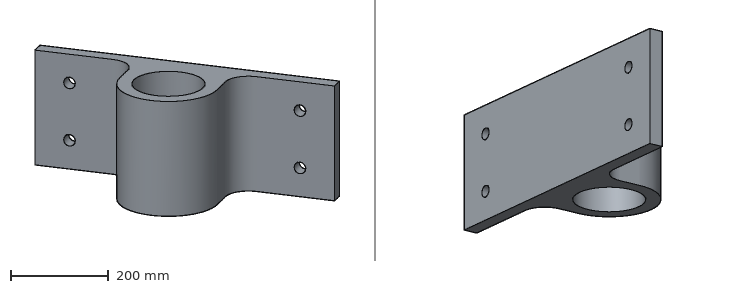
import cadquery as cq

plate_length = 650.0
plate_thickness = 32.0
height = 250.0

overall_depth = 238.0
housing_radius = 106.0
bore_diameter = 149.5
root_fillet_radius = 50.0
axis_y = housing_radius - overall_depth

bolt_hole_diameter = 25.0
bolt_spacing_x = 500.0
bolt_spacing_z = 125.0


def make_body():
    """Plate and housing in one profile, extruded along Z and centred on Z = 0."""
    half_length = plate_length / 2
    fillet_end_x = housing_radius + root_fillet_radius
    fillet_end_y = -plate_thickness - root_fillet_radius
    return (
        cq.Workplane("XY", origin=(0, 0, -height / 2))
        .moveTo(-half_length, 0)
        .lineTo(-half_length, -plate_thickness)
        .lineTo(-fillet_end_x, -plate_thickness)
        .radiusArc((-housing_radius, fillet_end_y), root_fillet_radius)
        .lineTo(-housing_radius, axis_y)
        .threePointArc((0, -overall_depth), (housing_radius, axis_y))
        .lineTo(housing_radius, fillet_end_y)
        .radiusArc((fillet_end_x, -plate_thickness), root_fillet_radius)
        .lineTo(half_length, -plate_thickness)
        .lineTo(half_length, 0)
        .close()
        .extrude(height)
    )


def make_bore():
    """Through bore of the housing."""
    return (
        cq.Workplane("XY", origin=(0, axis_y, -height / 2))
        .circle(bore_diameter / 2)
        .extrude(height)
    )


def make_bolt_holes():
    """Four holes through the plate, two on each side of the housing."""
    return (
        cq.Workplane("XZ")
        .rarray(bolt_spacing_x, bolt_spacing_z, 2, 2)
        .circle(bolt_hole_diameter / 2)
        .extrude(plate_thickness)
    )


result = make_body().cut(make_bore()).cut(make_bolt_holes())